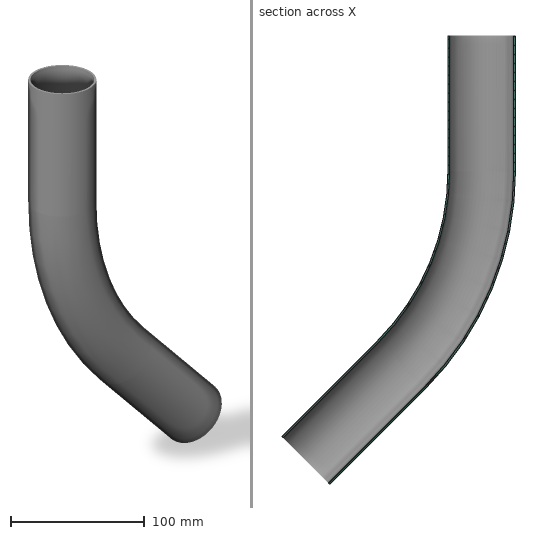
import cadquery as cq
import math

overall_height = 335.0
outer_diameter = 51.0
inner_diameter = 47.5
leg_length = 101.2
bend_angle = 45.0

outer_radius = outer_diameter / 2
bend_sine = math.sin(math.radians(bend_angle))
bend_cosine = math.cos(math.radians(bend_angle))
lower_rim_drop = outer_radius * bend_sine
sloped_height = overall_height - leg_length - lower_rim_drop
bend_radius = (sloped_height - leg_length * bend_cosine) / bend_sine


def bend_point(angle):
    """Return the (Y, Z) centreline point at an angle in degrees into the bend."""
    turn = math.radians(angle)
    return (bend_radius * (1 - math.cos(turn)), -bend_radius * math.sin(turn))


bend_end = bend_point(bend_angle)
lower_end = (
    bend_end[0] + leg_length * bend_sine,
    bend_end[1] - leg_length * bend_cosine,
)
centreline = (
    cq.Workplane("YZ")
    .moveTo(0, leg_length)
    .lineTo(0, 0)
    .threePointArc(bend_point(bend_angle / 2), bend_end)
    .lineTo(*lower_end)
)

result = (
    cq.Workplane("XY")
    .workplane(offset=leg_length)
    .circle(outer_radius)
    .circle(inner_diameter / 2)
    .sweep(centreline)
)